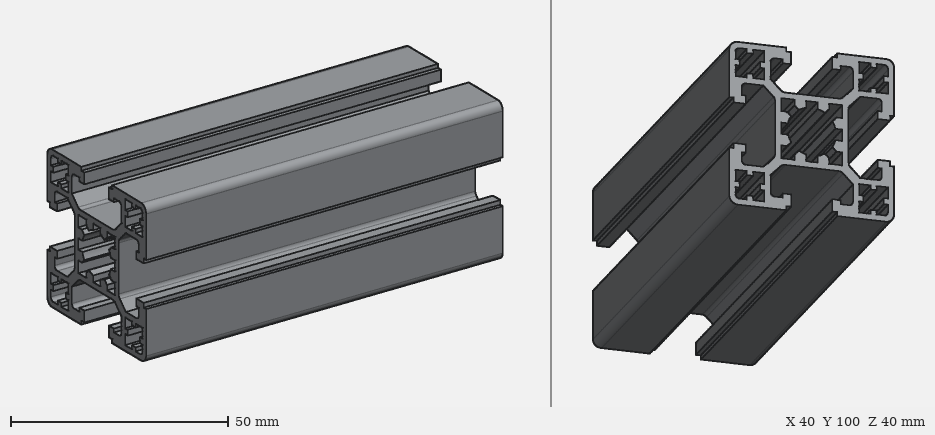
import cadquery as cq
import math

length = 100.0
half_side = 40.0 / 2
outer_radius = 2.0
wall = 1.5
right_angles = (0, 90, 180, 270)

mouth_half_width = 5.0
mouth_step_half_width = 6.2
mouth_step_depth = 1.0
hook_width = 2.0
hook_depth = 1.0
lip_thickness = 3.0
slot_half_width = 10.0
slot_floor = 8.9
slot_top_radius = 1.0
slot_bevel = 2.9
bevel_blend_radius = 1.5

corner_hollow = half_side - slot_half_width - 2 * wall
corner_center = half_side - wall - corner_hollow / 2
corner_hollow_radius = 1.0
rib_width = 1.5
rib_height = 1.0

core_half_width = slot_floor - wall
bore_radius = 5.9
tooth_inner_edge = 1.4
tooth_outer_edge = 4.2
tooth_flank_end = 6.0


def sketch_plane():
    """XZ plane at the -Y end; its local y axis is Z."""
    return cq.Workplane("XZ", origin=(0, -length / 2, 0))


def prism(outline):
    return outline.extrude(-length)


def turn(solid, angle):
    return solid.rotate((0, 0, 0), (0, 1, 0), angle)


def make_blank():
    side = 2 * half_side
    return prism(sketch_plane().rect(side, side)).edges("|Y").fillet(outer_radius)


def make_slot():
    """Void of the T-slot that opens toward +Z."""
    lip_underside = half_side - lip_thickness
    hook_tip = lip_underside - hook_depth
    hook_back = mouth_half_width + hook_width
    step_level = half_side - mouth_step_depth
    floor_half_width = slot_half_width - slot_bevel
    right_side = [
        (mouth_step_half_width, half_side),
        (mouth_step_half_width, step_level),
        (mouth_half_width, step_level),
        (mouth_half_width, hook_tip),
        (hook_back, hook_tip),
        (hook_back, lip_underside),
        (slot_half_width, lip_underside),
        (slot_half_width, slot_floor + slot_bevel),
        (floor_half_width, slot_floor),
    ]
    left_side = [(-x, z) for x, z in reversed(right_side)]
    slot = prism(sketch_plane().polyline(right_side + left_side).close())
    for x in (-slot_half_width, slot_half_width):
        top_corner = cq.selectors.NearestToPointSelector((x, 0, lip_underside))
        slot = slot.edges(top_corner).fillet(slot_top_radius)
    for x in (-floor_half_width, floor_half_width):
        floor_corner = cq.selectors.NearestToPointSelector((x, 0, slot_floor))
        slot = slot.edges(floor_corner).fillet(bevel_blend_radius)
    return slot


def make_corner_hollow():
    """Ribbed void in the +X +Z corner."""
    hollow = prism(sketch_plane().center(corner_center, corner_center).rect(corner_hollow, corner_hollow))
    hollow = hollow.edges(">(1, 0, 1)").fillet(corner_hollow_radius)
    rib_offset = (corner_hollow - rib_height) / 2
    for direction in (-1, 1):
        along = corner_center + direction * rib_offset
        hollow = hollow.cut(prism(sketch_plane().center(along, corner_center).rect(rib_height, rib_width)))
        hollow = hollow.cut(prism(sketch_plane().center(corner_center, along).rect(rib_width, rib_height)))
    return hollow


def make_tooth():
    """Tooth on the +Z wall of the core: 45 degree outer flank, tip cut by the bore circle."""
    flank_offset = tooth_flank_end - tooth_outer_edge
    tip_x = (math.sqrt(2 * bore_radius**2 - flank_offset**2) - flank_offset) / 2
    mid_x = (tip_x + tooth_inner_edge) / 2

    def on_bore(x):
        return (x, math.sqrt(bore_radius**2 - x**2))

    outline = (
        sketch_plane()
        .moveTo(tooth_inner_edge, core_half_width)
        .lineTo(tooth_outer_edge, core_half_width)
        .lineTo(tooth_outer_edge, tooth_flank_end)
        .lineTo(*on_bore(tip_x))
        .threePointArc(on_bore(mid_x), on_bore(tooth_inner_edge))
        .close()
    )
    return prism(outline)


def make_core():
    """Central void with its eight teeth left standing."""
    core = prism(sketch_plane().rect(2 * core_half_width, 2 * core_half_width))
    tooth = make_tooth()
    tooth_pair = tooth.union(tooth.mirror("YZ"))
    for angle in right_angles:
        core = core.cut(turn(tooth_pair, angle))
    return core


result = make_blank().cut(make_core())
slot_void = make_slot()
corner_void = make_corner_hollow()
for angle in right_angles:
    result = result.cut(turn(slot_void, angle))
    result = result.cut(turn(corner_void, angle))